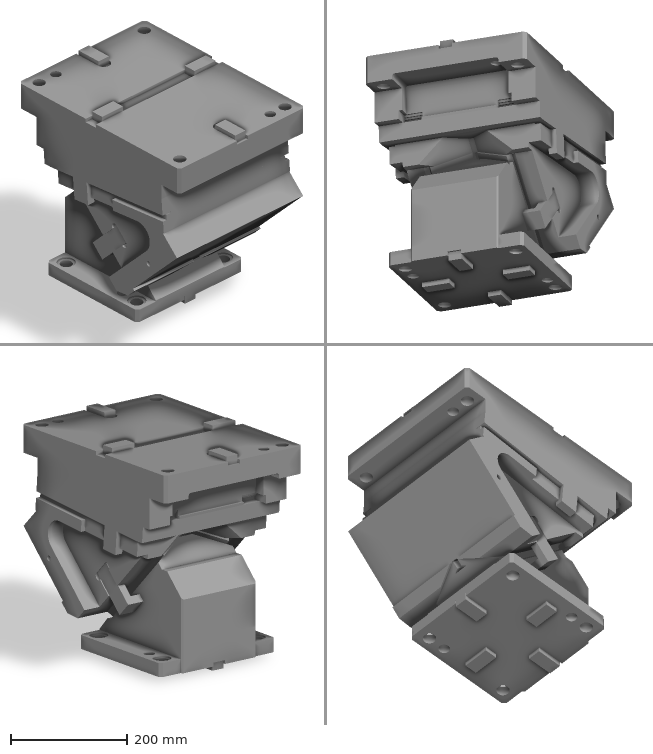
import cadquery as cq
import math


SLIDE_ANGLE = math.radians(45)
TOP_ANGLE = math.radians(5)
ROOF_SLOPE = math.tan(math.radians(30))

HALF_DEPTH = 150.0
TOP_Z = 376.0
CORNER = 5.6
SCREW_DIA = 23.0
DOWEL_DIA = 20.0

KEY_LENGTH = 50.0
KEY_WIDTH = 24.4
KEY_PROUD = 8.5
KEYWAY_WIDTH = 25.6
KEYWAY_DEPTH = 7.0

EAVE_N = 64.0
EAVE_Y = 81.5
RIDGE_Y = 14.5
ROOF_START = -195.7
ROOF_END = -4.5
SLIDER_FACE_N = 76.3
SEAT_Y = 85.0
VALLEY_Y = 5.0
PLATE_START = -206.0
PLATE_Y = 71.0
PLATE_PROUD = 4.0

TOP_V = 250.4
SIDE_GAP = 2.0
SIDE_GAP_Y = 130.0
FLANGE_V = 238.4
POCKET_V = 217.3
HOOK_V = 206.6
HOOK_U = (-43.0, -9.0)
HOOK_Y = 135.0
SLIDER_U = -91.0
RIGHT_U = 181.0
FLANGE_U = 54.0
RIB_Y = 141.0
POCKET_Y = 117.0

ARM_T = (-110.5, -76.7)
ARM_N = (37.0, 124.0)
ARM_Y = (101.0, 115.0)
LEG_N = 52.0
RELIEF_RADIUS = 7.0

BIG = 1000.0


def slide_point(t, n):
    """X and Z of a point given along and away from the slide."""
    c, s = math.cos(SLIDE_ANGLE), math.sin(SLIDE_ANGLE)
    return (t * c + n * s, -t * s + n * c)


def slope_point(u, v):
    """X and Z of a point given along and square to the sloped top."""
    c, s = math.cos(TOP_ANGLE), math.sin(TOP_ANGLE)
    return (u * c - v * s, u * s + v * c)


def at_height(u, z):
    """X and Z of the point at height z on the end plane at u."""
    return ((u - z * math.sin(TOP_ANGLE)) / math.cos(TOP_ANGLE), z)


def corners_of(a, b):
    """Corners of a rectangle, in order around it, from its two ranges."""
    return [(a[0], b[0]), (a[1], b[0]), (a[1], b[1]), (a[0], b[1])]


def slide_rect(t, n):
    return [slide_point(a, b) for a, b in corners_of(t, n)]


def slope_rect(u, v):
    return [slope_point(a, b) for a, b in corners_of(u, v)]


def prism(points, y_low, y_high):
    """Solid with an X-Z outline between two Y values."""
    return cq.Workplane("XZ", origin=(0, y_low, 0)).polyline(points).close().extrude(y_low - y_high)


def both_sides(points, y_inner, y_outer):
    """The same prism on the -Y and the +Y side."""
    return prism(points, -y_outer, -y_inner).add(prism(points, y_inner, y_outer)).combine()


def guide_prism(points, t_start, t_end):
    """Solid with a Y-n outline, running along the slide."""
    x, z = slide_point(t_start, 0)
    start = cq.Plane(origin=(x, 0, z), xDir=(0, 1, 0), normal=(1, 0, -1))
    return cq.Workplane(start).polyline(points).close().extrude(t_end - t_start)


def box(x, y, z):
    size = (x[1] - x[0], y[1] - y[0], z[1] - z[0])
    return cq.Workplane(cq.Solid.makeBox(*size, pnt=cq.Vector(x[0], y[0], z[0])))


def cylinders(places, diameter, z_low, z_high):
    start = cq.Workplane("XY", origin=(0, 0, z_low))
    return start.pushPoints(places).circle(diameter / 2).extrude(z_high - z_low)


def roof_n(y):
    return EAVE_N + (EAVE_Y - y) * ROOF_SLOPE


def seat_n(y):
    return SLIDER_FACE_N + (SEAT_Y - y) * ROOF_SLOPE


BASE_LEFT = -159.5
BASE_RIGHT = 70.0
BASE_EDGE_CHAMFER = 3.0
SHOULDER_Z = 132.0
LEDGE_Z = 173.5
LEDGE_X = (-118.0, -103.2)
TOE_X = 48.4
TOE_Z = 50.5
TOE_DROP_Z = 26.7
FLANGE_LEFT = -155.6
FLANGE_HALF = 126.0
FLANGE_THICK = 25.0
FLANGE_HOLE_INSET = 25.0
FLANGE_HOLE_Y = 103.0
DOWEL_SPACING = 35.0
COUNTERBORE_DIA = 33.0
COUNTERBORE_DEPTH = 3.0
BASE_KEY_X = -50.7
BASE_KEY_Y = 50.0
ROOF_ROOT_N = 50.0


def base_body():
    eave_sum = EAVE_N * math.sqrt(2)
    outline = [
        (BASE_LEFT, 0), (BASE_LEFT, SHOULDER_Z), (LEDGE_X[0], LEDGE_Z), (LEDGE_X[1], LEDGE_Z),
        slide_point(ROOF_START, EAVE_N), (eave_sum - TOE_Z, TOE_Z), (TOE_X, TOE_Z),
        (BASE_RIGHT, TOE_DROP_Z), (BASE_RIGHT, 0),
    ]
    body = prism(outline, -EAVE_Y, EAVE_Y).faces("<X").edges("|Z").chamfer(BASE_EDGE_CHAMFER)
    roof = [
        (-EAVE_Y, ROOF_ROOT_N), (EAVE_Y, ROOF_ROOT_N), (EAVE_Y, EAVE_N),
        (RIDGE_Y, roof_n(RIDGE_Y)), (-RIDGE_Y, roof_n(RIDGE_Y)), (-EAVE_Y, EAVE_N),
    ]
    return body.union(guide_prism(roof, ROOF_START, ROOF_END))


def base_flange():
    flange = box((FLANGE_LEFT, BASE_RIGHT), (-FLANGE_HALF, FLANGE_HALF), (0, FLANGE_THICK))
    return flange.edges("|Z").chamfer(CORNER)


def base_holes():
    left = FLANGE_LEFT + FLANGE_HOLE_INSET
    right = BASE_RIGHT - FLANGE_HOLE_INSET
    screws = [(x, y) for x in (left, right) for y in (-FLANGE_HOLE_Y, FLANGE_HOLE_Y)]
    dowels = [(right - DOWEL_SPACING, -FLANGE_HOLE_Y), (left + DOWEL_SPACING, FLANGE_HOLE_Y)]
    holes = cylinders(screws, SCREW_DIA, 0, FLANGE_THICK)
    holes = holes.union(cylinders(dowels, DOWEL_DIA, 0, FLANGE_THICK))
    return holes.union(cylinders(screws, COUNTERBORE_DIA, FLANGE_THICK - COUNTERBORE_DEPTH, FLANGE_THICK))


def base_keyways():
    half = KEYWAY_WIDTH / 2
    left = box((BASE_LEFT, FLANGE_LEFT + KEY_LENGTH), (-half, half), (0, KEYWAY_DEPTH))
    right = box((BASE_RIGHT - KEY_LENGTH, BASE_RIGHT), (-half, half), (0, KEYWAY_DEPTH))
    return left.union(right)


def base_keys():
    z = (-KEY_PROUD, KEYWAY_DEPTH)
    half = KEY_WIDTH / 2
    keys = box((FLANGE_LEFT, FLANGE_LEFT + KEY_LENGTH), (-half, half), z)
    keys = keys.union(box((BASE_RIGHT - KEY_LENGTH, BASE_RIGHT), (-half, half), z))
    for y in (-BASE_KEY_Y - KEY_LENGTH, BASE_KEY_Y):
        keys = keys.union(box((BASE_KEY_X - half, BASE_KEY_X + half), (y, y + KEY_LENGTH), z))
    return keys


def retainers():
    legs = both_sides(slide_rect(ARM_T, (ARM_N[0], LEG_N)), EAVE_Y, ARM_Y[1])
    return legs.union(both_sides(slide_rect(ARM_T, ARM_N), *ARM_Y))


base = base_body().union(base_flange()).cut(base_holes())
base = base.cut(base_keyways()).union(base_keys()).union(retainers())

NOSE_Z = 200.0
HEEL_V = 60.0
BACK_T = -0.7
BUMP_T = 4.0
BUMP_N = 121.0
TIP_N = 275.4
SHOULDER = (158.7, 230.2)
POCKET_RADIUS = 29.5
POCKET_SIDE_T = -41.2
PIN_HOLE = (123.7, 153.0)
PIN_HOLE_DIA = 10.0
PIN_HOLE_DEPTH = 15.0


def slider_block():
    face_sum = SLIDER_FACE_N * math.sqrt(2)
    heel_x, heel_z = slope_point(0, HEEL_V)
    heel_rise = math.tan(TOP_ANGLE)
    heel_base = heel_z - heel_x * heel_rise
    heel_left = (face_sum - heel_base) / (1 + heel_rise)
    bump_gap = BUMP_T * math.sqrt(2)
    heel_right = (bump_gap + heel_base) / (1 - heel_rise)
    outline = [
        slope_point(SLIDER_U, TOP_V), at_height(SLIDER_U, NOSE_Z), (face_sum - NOSE_Z, NOSE_Z),
        (heel_left, face_sum - heel_left), (heel_right, heel_right - bump_gap),
        slide_point(BUMP_T, BUMP_N), slide_point(BACK_T, BUMP_N), slide_point(BACK_T, TIP_N),
        SHOULDER, at_height(RIGHT_U, SHOULDER[1]), slope_point(RIGHT_U, TOP_V),
    ]
    return prism(outline, -HALF_DEPTH, HALF_DEPTH)


def side_steps():
    """Material taken off beside the rib, above the flange and along the top edges."""
    rib = slope_rect((-BIG, FLANGE_U), (POCKET_V, BIG))
    above_flange = slope_rect((-BIG, BIG), (FLANGE_V, BIG))
    top_edge = slope_rect((-BIG, BIG), (TOP_V - SIDE_GAP, BIG))
    steps = both_sides(rib, RIB_Y, HALF_DEPTH).union(both_sides(above_flange, RIB_Y, HALF_DEPTH))
    return steps.union(both_sides(top_edge, SIDE_GAP_Y, HALF_DEPTH))


def side_pockets():
    """Side recess with one rounded corner, open toward the nose and the slide."""
    slope_to_slide = TOP_ANGLE + SLIDE_ANGLE
    center_t = POCKET_SIDE_T - POCKET_RADIUS
    center_n = (POCKET_V - POCKET_RADIUS + center_t * math.sin(slope_to_slide)) / math.cos(slope_to_slide)
    center = slide_point(center_t, center_n)
    to_top = slope_point(0, POCKET_RADIUS)
    top_tangent = (center[0] + to_top[0], center[1] + to_top[1])
    middle = (center[0] + POCKET_RADIUS, center[1])
    far = slope_point(-BIG, POCKET_V)
    pockets = cq.Workplane()
    for y_start in (-POCKET_Y, HALF_DEPTH):
        pocket = (
            cq.Workplane("XZ", origin=(0, y_start, 0))
            .moveTo(*far)
            .lineTo(*top_tangent)
            .threePointArc(middle, slide_point(POCKET_SIDE_T, center_n))
            .lineTo(*slide_point(POCKET_SIDE_T, -BIG))
            .close()
            .extrude(HALF_DEPTH - POCKET_Y)
        )
        pockets.add(pocket)
    return pockets.combine()


def guide_groove():
    """V groove: shallow at the end wall, deeper where the wear plates are seated."""
    wall_edge = HALF_DEPTH
    wall_n = [roof_n(y) + PLATE_PROUD for y in (wall_edge, VALLEY_Y)]
    wall = [
        (-wall_edge, -BIG), (wall_edge, -BIG), (wall_edge, wall_n[0]), (VALLEY_Y, wall_n[1]),
        (-VALLEY_Y, wall_n[1]), (-wall_edge, wall_n[0]),
    ]
    seat = [
        (-SEAT_Y, -BIG), (SEAT_Y, -BIG), (SEAT_Y, SLIDER_FACE_N), (VALLEY_Y, seat_n(VALLEY_Y)),
        (-VALLEY_Y, seat_n(VALLEY_Y)), (-SEAT_Y, SLIDER_FACE_N),
    ]
    return guide_prism(wall, -BIG, PLATE_START).union(guide_prism(seat, PLATE_START, BIG))


def wear_plates():
    """Plates that fill the seat down to the base roof, with outer edges square to it."""
    drop = seat_n(0) - roof_n(0)
    angle = math.atan(ROOF_SLOPE)
    outer_y = PLATE_Y + drop * math.cos(angle) * math.sin(angle)
    plates = cq.Workplane()
    for side in (-1, 1):
        section = [(y * side, n) for y, n in (
            (PLATE_Y, roof_n(PLATE_Y)), (outer_y, seat_n(outer_y)),
            (VALLEY_Y, seat_n(VALLEY_Y)), (VALLEY_Y, roof_n(VALLEY_Y)),
        )]
        plates.add(guide_prism(section, PLATE_START, ROOF_END))
    return plates.combine()


def arm_slots():
    """Slots for the retainer arms, with round reliefs at the inner corners."""
    slots = both_sides(slide_rect(ARM_T, (-BIG, ARM_N[1])), ARM_Y[0], HALF_DEPTH)
    corners = [slide_point(t, ARM_N[1] - RELIEF_RADIUS) for t in ARM_T]
    depth = POCKET_Y - ARM_Y[0]
    for y_start in (-ARM_Y[0] - depth, ARM_Y[0]):
        relief = cq.Workplane("XZ", origin=(0, y_start, 0)).pushPoints(corners)
        slots = slots.union(relief.circle(RELIEF_RADIUS).extrude(-depth))
    return slots


def pin_holes():
    holes = cq.Workplane()
    for y_start in (-HALF_DEPTH, HALF_DEPTH - PIN_HOLE_DEPTH):
        hole = cq.Workplane("XZ", origin=(0, y_start, 0)).center(*PIN_HOLE).circle(PIN_HOLE_DIA / 2)
        holes.add(hole.extrude(-PIN_HOLE_DEPTH))
    return holes.combine()


slider = slider_block().cut(side_steps()).cut(side_pockets())
slider = slider.cut(both_sides(slope_rect(HOOK_U, (HOOK_V, BIG)), HOOK_Y, HALF_DEPTH))
slider = slider.cut(guide_groove()).union(wear_plates()).cut(arm_slots()).cut(pin_holes())

PLATE_HALF = 200.0
PLATE_THICK = 50.0
FOOT_HALF = 155.7
STEP_Z = 269.8
STEP_U = -113.6
LIP_Z = 240.8
HOLE_X = 175.0
HOLE_Y = 125.0
HOLDER_DOWELS = [(HOLE_X, 90.0), (-HOLE_X, -85.0)]
SLOT_X = -20.0
CROSS_KEY_Y = 85.0
END_KEY_X = 145.0
WINDOW_HALF = 99.0
WINDOW_TOP = 336.0
WINDOW_CORNER = 5.0
WALL_DEPTH = 5.0
LIP_HEIGHT = 5.0
BEVEL_ANGLE = math.radians(10)
RAIL_Y = (70.0, 105.0)
RAIL_TOPS = (285.5, 281.6, 278.2)
RAIL_STEP = 3.0


def holder_body():
    plate_z = TOP_Z - PLATE_THICK
    plate = box((-PLATE_HALF, PLATE_HALF), (-HALF_DEPTH, HALF_DEPTH), (plate_z, TOP_Z))
    plate = plate.edges("|Z").chamfer(CORNER)
    slope_x, slope_z = slope_point(0, TOP_V)
    lip_x = slope_x + (LIP_Z - slope_z) / math.tan(TOP_ANGLE)
    right_z = (RIGHT_U - FOOT_HALF * math.cos(TOP_ANGLE)) / math.sin(TOP_ANGLE)
    outline = [
        (-FOOT_HALF, plate_z), (-FOOT_HALF, STEP_Z), at_height(STEP_U, STEP_Z), at_height(STEP_U, LIP_Z),
        (lip_x, LIP_Z), slope_point(RIGHT_U, TOP_V), (FOOT_HALF, right_z), (FOOT_HALF, plate_z),
    ]
    hooks = both_sides(slope_rect(HOOK_U, (HOOK_V, TOP_V)), HOOK_Y, HALF_DEPTH)
    return plate.union(prism(outline, -HALF_DEPTH, HALF_DEPTH)).union(hooks)


def window():
    """Recess in the left end, back to a tilted wall, with stepped lower corners."""
    wall_u = STEP_U + WALL_DEPTH
    plate_z = TOP_Z - PLATE_THICK
    lip_x = at_height(STEP_U, STEP_Z)[0] - LIP_HEIGHT * math.tan(BEVEL_ANGLE)
    wall_top_x = at_height(wall_u, plate_z)[0] - (WINDOW_TOP - plate_z) * math.tan(BEVEL_ANGLE)
    lip_top = STEP_Z + LIP_HEIGHT
    outline = [
        (-PLATE_HALF, STEP_Z), at_height(STEP_U, STEP_Z), (lip_x, lip_top), at_height(wall_u, lip_top),
        at_height(wall_u, plate_z), (wall_top_x, WINDOW_TOP), (-PLATE_HALF, WINDOW_TOP),
    ]
    opening = prism(outline, -WINDOW_HALF, WINDOW_HALF)
    opening = opening.faces(">Z").edges(">Y or <Y").fillet(WINDOW_CORNER)
    for step, top in enumerate(RAIL_TOPS, start=1):
        rail_u = wall_u + step * RAIL_STEP
        rail = [(-PLATE_HALF, STEP_Z), at_height(rail_u, STEP_Z), at_height(rail_u, top), (-PLATE_HALF, top)]
        opening = opening.union(both_sides(rail, *RAIL_Y))
    return opening


def holder_holes():
    screws = [(x, y) for x in (-HOLE_X, HOLE_X) for y in (-HOLE_Y, HOLE_Y)]
    holes = cylinders(screws, SCREW_DIA, TOP_Z - PLATE_THICK, TOP_Z)
    return holes.union(cylinders(HOLDER_DOWELS, DOWEL_DIA, TOP_Z - PLATE_THICK, TOP_Z))


def holder_keyways():
    half = KEYWAY_WIDTH / 2
    z = (TOP_Z - KEYWAY_DEPTH, TOP_Z)
    ways = box((SLOT_X - half, SLOT_X + half), (-HALF_DEPTH, HALF_DEPTH), z)
    ways = ways.union(box((-PLATE_HALF, -END_KEY_X), (-half, half), z))
    ways = ways.union(box((END_KEY_X, PLATE_HALF), (-half, half), z))
    round_ends = [(-END_KEY_X, 0), (END_KEY_X, 0)]
    return ways.union(cylinders(round_ends, KEYWAY_WIDTH, *z))


def holder_keys():
    half = KEY_WIDTH / 2
    z = (TOP_Z - KEYWAY_DEPTH, TOP_Z + KEY_PROUD)
    keys = cq.Workplane()
    for x in (-END_KEY_X - KEY_LENGTH, END_KEY_X):
        keys.add(box((x, x + KEY_LENGTH), (-half, half), z))
    for y in (-CROSS_KEY_Y - KEY_LENGTH, CROSS_KEY_Y):
        keys.add(box((SLOT_X - half, SLOT_X + half), (y, y + KEY_LENGTH), z))
    return keys.combine()


holder = holder_body().cut(window()).cut(holder_holes())
holder = holder.cut(holder_keyways()).union(holder_keys())

result = cq.Compound.makeCompound([*base.solids().vals(), *slider.solids().vals(), *holder.solids().vals()])